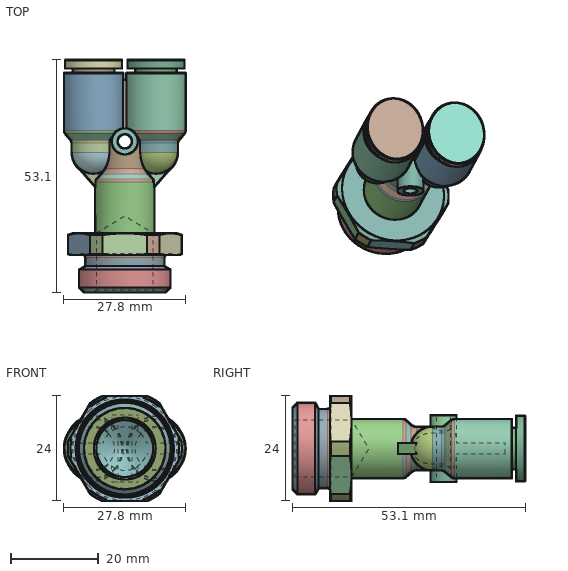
import cadquery as cq
import math

LENGTH = 53.1

THREAD_RADIUS = 10.45
THREAD_TIP_CHAMFER = 1.15
THREAD_BACK_Y = 5.2
NECK_START_Y = 6.0
NECK_RADIUS = 9.1
NECK_FILLET = 0.9

NUT_FRONT_Y = 8.55
NUT_BACK_Y = 13.55
NUT_ACROSS_FLATS = 24.0
NUT_CORNER_RADIUS = 13.0
NUT_FRONT_FACE_RADIUS = 12.35
NUT_FRONT_CHAMFER = 0.2
NUT_BACK_FACE_RADIUS = 11.85
NUT_BACK_CHAMFER = 0.4
RECESS_RADIUS = 11.2
RECESS_DEPTH = 0.3
RECESS_TAPER = 0.3

BORE_RADIUS = 6.5
BORE_CHAMFER = 0.6
BORE_DEPTH = 13.55
DRILL_POINT_ANGLE = 118.0

BODY_RADIUS = 6.8
STEM_WAIST_RADIUS = 5.0
STEM_SHOULDER_Y = 25.2
STEM_SHOULDER_ANGLE = 42.0
STEM_OUTER_FILLET = 0.95
STEM_INNER_FILLET = 1.9
STEM_END_Y = 35.6
TUBE_OFFSET = 7.1
TUBE_END_Y = 50.1
TUBE_WAIST_RADIUS = 5.05
TUBE_SHOULDER_Y = 36.95
TUBE_SHOULDER_ANGLE = 40.0
TUBE_FILLET = 1.1
TUBE_DOME_Y = 31.95
TUBE_END_CHAMFER = 0.15

COLLAR_NECK_RADIUS = 4.8
COLLAR_BACK_Y = 51.05
COLLAR_HALF_WIDTH = 6.55
COLLAR_HALF_HEIGHT = 7.5
COLLAR_CHAMFER = 0.15

WEB_THICKNESS = 2.45
WEB_FRONT_Y = 24.1
WEB_EDGE_ANGLE = 41.0
WEB_CORNER_X = 10.35
WEB_END_Y = 48.55

BOSS_Y = 34.45
BOSS_RADIUS = 3.0
BOSS_HEIGHT = 15.3
BOSS_HOLE_RADIUS = 1.6


def cylinder_y(radius, start, end, x=0):
    """Solid cylinder along Y between two stations."""
    return cq.Workplane("XZ", origin=(x, start, 0)).circle(radius).extrude(start - end)


def cone_y(start_radius, end_radius, start, end):
    """Solid cone frustum along the Y axis; a zero end radius gives a full cone."""
    outline = [(0, start), (start_radius, start), (end_radius, end)]
    if end_radius > 0:
        outline.append((0, end))
    return revolve_y(cq.Workplane("XY").polyline(outline))


def revolve_y(profile):
    """Close a half profile and turn it about the Y axis."""
    return profile.close().revolve(360, (0, 0, 0), (0, 1, 0))


def add_shoulder(profile, start, direction, angle, waist_radius, outer_fillet, inner_fillet):
    """Continue a profile from the body to the waist with a filleted cone, angled from the Y axis."""
    slope = math.radians(angle)
    blend = 1 - math.cos(slope)
    cone_outer_radius = BODY_RADIUS - outer_fillet * blend
    cone_inner_radius = waist_radius + inner_fillet * blend
    cone_length = (cone_outer_radius - cone_inner_radius) / math.tan(slope)
    cone_start = start + direction * outer_fillet * math.sin(slope)
    cone_end = cone_start + direction * cone_length
    waist_start = cone_end + direction * inner_fillet * math.sin(slope)
    return (
        profile.lineTo(BODY_RADIUS, start)
        .radiusArc((cone_outer_radius, cone_start), -direction * outer_fillet)
        .lineTo(cone_inner_radius, cone_end)
        .radiusArc((waist_radius, waist_start), direction * inner_fillet)
    )


def make_thread():
    recess_floor = NUT_FRONT_Y + RECESS_DEPTH
    profile = (
        cq.Workplane("XY")
        .lineTo(THREAD_RADIUS - THREAD_TIP_CHAMFER, 0)
        .lineTo(THREAD_RADIUS, THREAD_TIP_CHAMFER)
        .lineTo(THREAD_RADIUS, THREAD_BACK_Y)
        .lineTo(NECK_RADIUS, NECK_START_Y)
        .lineTo(NECK_RADIUS, recess_floor - NECK_FILLET)
        .radiusArc((NECK_RADIUS + NECK_FILLET, recess_floor), NECK_FILLET)
        .lineTo(0, recess_floor)
    )
    return revolve_y(profile)


def make_nut():
    across_corners = NUT_ACROSS_FLATS / math.cos(math.radians(30))
    hexagon = (
        cq.Workplane("XZ", origin=(0, NUT_FRONT_Y, 0))
        .polygon(6, across_corners)
        .extrude(NUT_FRONT_Y - NUT_BACK_Y)
    )
    turned_envelope = revolve_y(
        cq.Workplane("XY").polyline([
            (0, NUT_FRONT_Y),
            (NUT_FRONT_FACE_RADIUS, NUT_FRONT_Y),
            (NUT_CORNER_RADIUS, NUT_FRONT_Y + NUT_FRONT_CHAMFER),
            (NUT_CORNER_RADIUS, NUT_BACK_Y - NUT_BACK_CHAMFER),
            (NUT_BACK_FACE_RADIUS, NUT_BACK_Y),
            (0, NUT_BACK_Y),
        ])
    )
    recess_floor = NUT_FRONT_Y + RECESS_DEPTH
    recess = cone_y(RECESS_RADIUS, RECESS_RADIUS - RECESS_TAPER, NUT_FRONT_Y, recess_floor)
    return hexagon.intersect(turned_envelope).cut(recess)


def make_stem():
    profile = cq.Workplane("XY").moveTo(0, NUT_FRONT_Y + RECESS_DEPTH)
    profile = profile.lineTo(BODY_RADIUS, NUT_FRONT_Y + RECESS_DEPTH)
    profile = add_shoulder(
        profile, STEM_SHOULDER_Y, 1, STEM_SHOULDER_ANGLE,
        STEM_WAIST_RADIUS, STEM_OUTER_FILLET, STEM_INNER_FILLET,
    )
    return revolve_y(profile.lineTo(STEM_WAIST_RADIUS, STEM_END_Y).lineTo(0, STEM_END_Y))


def make_tube(x):
    """Outlet tube with a domed inner end and an oval release collar."""
    profile = (
        cq.Workplane("XY")
        .moveTo(0, TUBE_END_Y)
        .lineTo(BODY_RADIUS - TUBE_END_CHAMFER, TUBE_END_Y)
        .lineTo(BODY_RADIUS, TUBE_END_Y - TUBE_END_CHAMFER)
    )
    profile = add_shoulder(
        profile, TUBE_SHOULDER_Y, -1, TUBE_SHOULDER_ANGLE,
        TUBE_WAIST_RADIUS, TUBE_FILLET, TUBE_FILLET,
    )
    profile = profile.lineTo(TUBE_WAIST_RADIUS, TUBE_DOME_Y)
    profile = profile.radiusArc((0, TUBE_DOME_Y - TUBE_WAIST_RADIUS), TUBE_WAIST_RADIUS)
    tube = revolve_y(profile).translate((x, 0, 0))

    collar_neck = cylinder_y(COLLAR_NECK_RADIUS, TUBE_END_Y, COLLAR_BACK_Y, x)
    collar = (
        cq.Workplane("XZ", origin=(x, COLLAR_BACK_Y, 0))
        .ellipse(COLLAR_HALF_WIDTH, COLLAR_HALF_HEIGHT)
        .extrude(COLLAR_BACK_Y - LENGTH)
        .faces(">Y").edges().chamfer(COLLAR_CHAMFER)
    )
    return tube.union(collar_neck).union(collar)


def make_web():
    """Plate in the XY plane whose slanted front edges run from the stem into the tube domes."""
    corner_y = WEB_FRONT_Y + (WEB_CORNER_X - BODY_RADIUS) / math.tan(math.radians(WEB_EDGE_ANGLE))
    outline = [
        (0, WEB_FRONT_Y),
        (BODY_RADIUS, WEB_FRONT_Y),
        (WEB_CORNER_X, corner_y),
        (TUBE_OFFSET, TUBE_DOME_Y),
        (TUBE_OFFSET, WEB_END_Y),
        (0, WEB_END_Y),
    ]
    half = cq.Workplane("XY").polyline(outline).close().extrude(WEB_THICKNESS / 2, both=True)
    return half.union(half.mirror("YZ"))


def make_bore():
    bore = cylinder_y(BORE_RADIUS, 0, BORE_DEPTH)
    mouth = cone_y(BORE_RADIUS + BORE_CHAMFER, BORE_RADIUS, 0, BORE_CHAMFER)
    point_length = BORE_RADIUS / math.tan(math.radians(DRILL_POINT_ANGLE / 2))
    point = cone_y(BORE_RADIUS, 0, BORE_DEPTH, BORE_DEPTH + point_length)
    return bore.union(mouth).union(point)


def make_boss_cylinder(radius):
    """Vertical cylinder with the height of the cross boss."""
    circle = cq.Workplane("XY", origin=(0, BOSS_Y, 0)).circle(radius)
    return circle.extrude(BOSS_HEIGHT / 2, both=True)


result = make_thread().union(make_nut()).union(make_stem())
for side in (-1, 1):
    result = result.union(make_tube(side * TUBE_OFFSET))
result = result.union(make_web()).union(make_boss_cylinder(BOSS_RADIUS))
result = result.cut(make_boss_cylinder(BOSS_HOLE_RADIUS)).cut(make_bore())